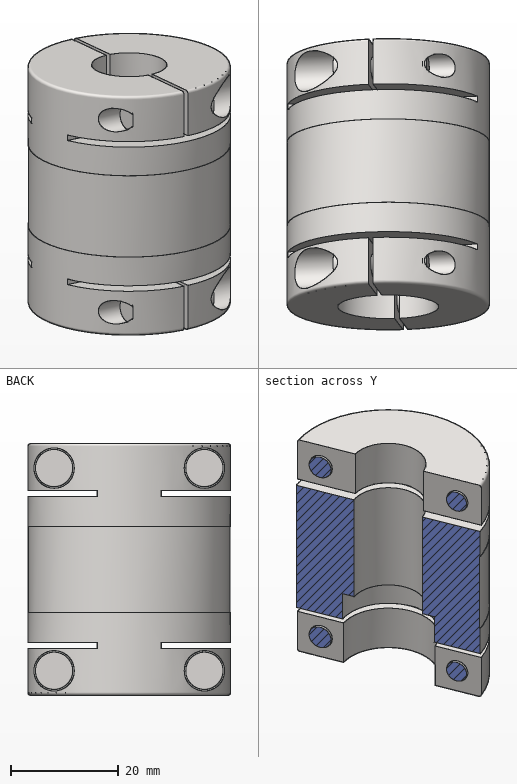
import cadquery as cq

LENGTH = 47.0
HUB_RADIUS = 18.9
HUB_LENGTH = 15.5
SLEEVE_RADIUS = 18.85
END_FILLET = 0.55

UPPER_BORE_RADIUS = 7.0
LOWER_BORE_RADIUS = 9.4
RELIEF_DEPTH = 1.6

CLAMP_LENGTH = 8.8
SLOT_HEIGHT = 1.1
BRIDGE_HALF_WIDTH = 5.95

SLIT_WIDTH = 0.9

SCREW_X = 14.0
SCREW_END_DISTANCE = 4.6
SCREW_TIP_Y = -9.95
HEAD_TOP_Y = 7.4
HEAD_SEAT_Y = 3.3
HEAD_RADIUS = 3.5
HEAD_POCKET_RADIUS = 3.75
HEAD_FILLET = 0.15
LEFT_SCREW_RADIUS = 2.1
LEFT_TIP_RADIUS = 1.55
LEFT_HOLE_RADIUS = 2.2
RIGHT_SCREW_RADIUS = 2.3

BRIDGE_WIDTH = 2 * BRIDGE_HALF_WIDTH
HUB_DIAMETER = 2 * HUB_RADIUS


def cylinder_z(radius, bottom, top):
    return cq.Workplane("XY").workplane(offset=bottom).circle(radius).extrude(top - bottom)


def cylinder_y(radius, x, z, start, end):
    """Cylinder parallel to Y from y=start to the larger y=end."""
    plane = cq.Plane(origin=(x, start, z), xDir=(1, 0, 0), normal=(0, 1, 0))
    return cq.Workplane(plane).circle(radius).extrude(end - start)


def outer_body():
    ends = cylinder_z(HUB_RADIUS, 0, LENGTH).faces("<Z or >Z").edges().fillet(END_FILLET)
    waist = cylinder_z(HUB_RADIUS, HUB_LENGTH, LENGTH - HUB_LENGTH)
    sleeve = cylinder_z(SLEEVE_RADIUS, HUB_LENGTH, LENGTH - HUB_LENGTH)
    return ends.cut(waist.cut(sleeve))


def cut_bores(body):
    body = body.cut(cylinder_z(UPPER_BORE_RADIUS, 0, LENGTH))
    return body.cut(cylinder_z(LOWER_BORE_RADIUS, 0, HUB_LENGTH))


def cut_cross_slot(body, bottom, bore_radius):
    """Cut both side slots and the ring-shaped relief around the bore at one level."""
    top = bottom + SLOT_HEIGHT
    disc = cylinder_z(HUB_DIAMETER, bottom, top)
    bridges = (
        cq.Workplane("XY").workplane(offset=bottom)
        .rect(BRIDGE_WIDTH, 2 * HUB_DIAMETER).extrude(SLOT_HEIGHT)
    )
    relief = cylinder_z(bore_radius + RELIEF_DEPTH, bottom, top)
    return body.cut(disc.cut(bridges)).cut(relief)


def cut_slit(body, bottom):
    slit = (
        cq.Workplane("XY").workplane(offset=bottom)
        .rect(2 * HUB_DIAMETER, SLIT_WIDTH).extrude(CLAMP_LENGTH)
    )
    return body.cut(slit)


def add_screw_shank(body, x, z, radius):
    """Bridge the slit with the part of the screw that is visible inside it."""
    return body.union(cylinder_y(radius, x, z, -SLIT_WIDTH, SLIT_WIDTH))


def add_screw_head(body, x, z):
    """Sink a round pocket from the +Y side and stand the screw head on its floor."""
    head = cylinder_y(HEAD_RADIUS, x, z, HEAD_SEAT_Y, HEAD_TOP_Y)
    head = head.faces(">Y").edges().fillet(HEAD_FILLET)
    pocket = cylinder_y(HEAD_POCKET_RADIUS, x, z, HEAD_SEAT_Y, HUB_RADIUS)
    return body.cut(pocket).union(head)


def cut_left_tip_hole(body, z):
    """Open the -Y side down to a screw tip with a 45 degree chamfer."""
    chamfer_height = LEFT_HOLE_RADIUS - LEFT_TIP_RADIUS
    chamfer_base_y = SCREW_TIP_Y + chamfer_height
    hole = cylinder_y(LEFT_HOLE_RADIUS, -SCREW_X, z, -HUB_RADIUS, chamfer_base_y)
    tip = cq.Solid.makeCone(
        LEFT_TIP_RADIUS, LEFT_HOLE_RADIUS, chamfer_height,
        pnt=cq.Vector(-SCREW_X, SCREW_TIP_Y, z), dir=cq.Vector(0, 1, 0),
    )
    return body.cut(hole.cut(tip))


def cut_right_tip_hole(body, z):
    """Open the -Y side down to a flat screw tip that fills the hole."""
    return body.cut(cylinder_y(RIGHT_SCREW_RADIUS, SCREW_X, z, -HUB_RADIUS, SCREW_TIP_Y))


def add_clamp_screws(body, z):
    body = add_screw_shank(body, -SCREW_X, z, LEFT_SCREW_RADIUS)
    body = add_screw_shank(body, SCREW_X, z, RIGHT_SCREW_RADIUS)
    for x in (-SCREW_X, SCREW_X):
        body = add_screw_head(body, x, z)
    body = cut_left_tip_hole(body, z)
    return cut_right_tip_hole(body, z)


coupling = cut_bores(outer_body())
coupling = cut_cross_slot(coupling, CLAMP_LENGTH, LOWER_BORE_RADIUS)
coupling = cut_cross_slot(coupling, LENGTH - CLAMP_LENGTH - SLOT_HEIGHT, UPPER_BORE_RADIUS)
for slit_bottom in (0, LENGTH - CLAMP_LENGTH):
    coupling = cut_slit(coupling, slit_bottom)
for screw_z in (SCREW_END_DISTANCE, LENGTH - SCREW_END_DISTANCE):
    coupling = add_clamp_screws(coupling, screw_z)

result = coupling